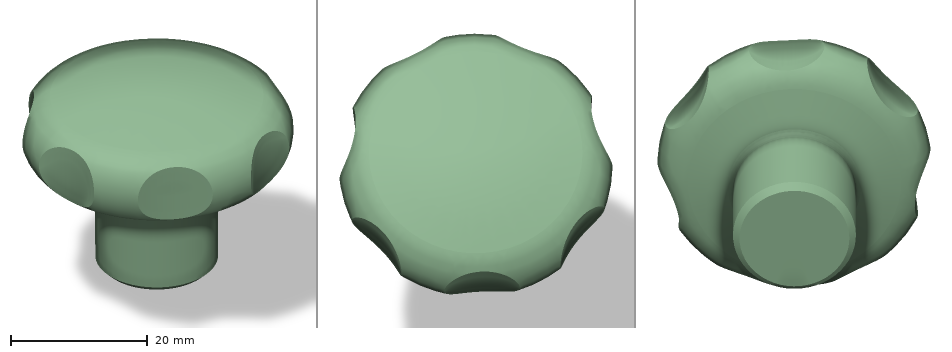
import cadquery as cq
import math

total_height = 30.4
rim_height = 22.55

head_radius = 20.0
rim_round = 6.0
face_edge_radius = 15.62
cone_angle = 15.0

stem_radius = 9.0
stem_chamfer = 0.95
neck_fillet = 1.0

grip_count = 7
grip_floor = 18.0
grip_radius = 13.2
first_grip_angle = -90.0

face_edge_rise = math.sqrt(rim_round**2 - (face_edge_radius - (head_radius - rim_round)) ** 2)

dome_rise = total_height - rim_height - face_edge_rise
dome_radius = (face_edge_radius**2 + dome_rise**2) / (2 * dome_rise)
dome_mid_radius = face_edge_radius / 2
dome_mid_height = total_height - dome_radius + math.sqrt(dome_radius**2 - dome_mid_radius**2)

lower_edge_height = rim_height - face_edge_rise
cone_drop = (face_edge_radius - stem_radius) * math.tan(math.radians(cone_angle))
neck_height = lower_edge_height - cone_drop


def make_body():
    """Revolve the half profile of the head and stem about Z."""
    profile = (
        cq.Workplane("XZ")
        .lineTo(stem_radius - stem_chamfer, 0)
        .lineTo(stem_radius, stem_chamfer)
        .lineTo(stem_radius, neck_height)
        .lineTo(face_edge_radius, lower_edge_height)
        .threePointArc((head_radius, rim_height), (face_edge_radius, rim_height + face_edge_rise))
        .threePointArc((dome_mid_radius, dome_mid_height), (0, total_height))
        .close()
    )
    body = profile.revolve(360, (0, 0, 0), (0, 1, 0))
    neck_edge = body.edges("%CIRCLE").edges(
        cq.selectors.BoxSelector(
            (-stem_radius, -stem_radius, neck_height - neck_fillet),
            (stem_radius, stem_radius, neck_height + neck_fillet),
        )
    )
    return neck_edge.fillet(neck_fillet)


def make_grips():
    """Vertical cylinders spaced evenly around the head, tall enough to pass right through the rim."""
    return (
        cq.Workplane("XY")
        .workplane(offset=rim_height - rim_round)
        .polarArray(grip_floor + grip_radius, first_grip_angle, 360, grip_count)
        .circle(grip_radius)
        .extrude(2 * rim_round)
    )


result = make_body().cut(make_grips())